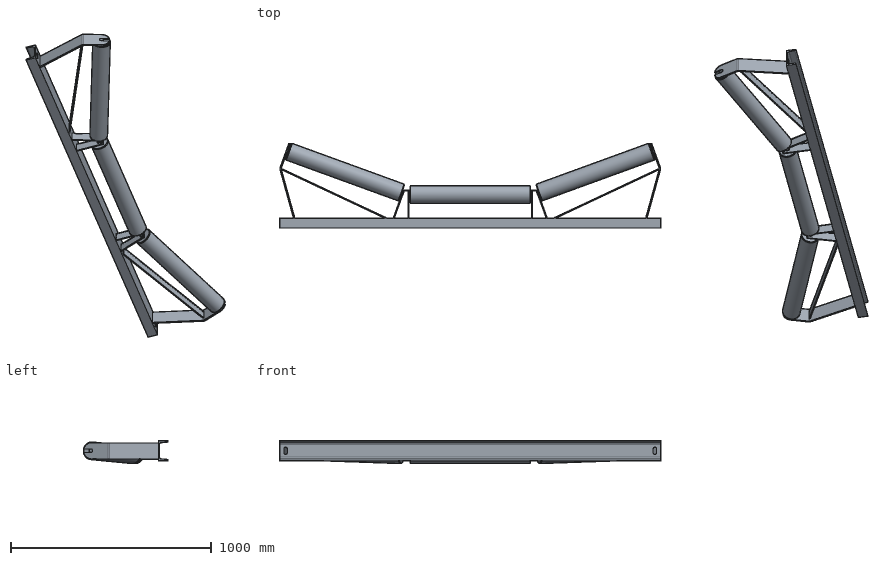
import cadquery as cq
import math

BEAM_LENGTH = 1900.0
BEAM_HEIGHT = 100.0
BEAM_DEPTH = 50.0
WEB_THICKNESS = 5.0
FLANGE_TIP_THICKNESS = 8.0
FLANGE_ROOT_THICKNESS = 11.0
FLANGE_ROOT_RADIUS = 8.5
FLANGE_TIP_RADIUS = 6.7
MOUNT_SLOT_WIDTH = 17.0
MOUNT_SLOT_LENGTH = 36.0
MOUNT_SLOT_END_DISTANCE = 30.0

ROLLER_DIAMETER = 90.0
ROLLER_LENGTH = 600.0
ROLLER_CHAMFER = 4.0
PIN_DIAMETER = 19.0
ROLLER_END_GAP = 4.0
MIDDLE_ROLLER_Y = 167.0
WING_ANGLE = 20.0
WING_LEAN_ANGLE = 1.9
WING_INNER_X = 342.0
WING_INNER_Y = 177.0

ARM_THICKNESS = 8.0
ARM_HEIGHT = 80.0
ARM_BEND_Y = 296.0
ARM_FOOT_X = 870.0
ARM_BEND_RADIUS = 13.0

BRACKET_THICKNESS = 5.0
BRACKET_HEIGHT = 50.0
BRACKET_TOP_Y = 190.0

STRUT_THICKNESS = 5.0
STRUT_HEIGHT = 50.0
STRUT_FOOT_X = 367.0

FOOT_Y = BEAM_DEPTH / 2

ROLLER_RADIUS = ROLLER_DIAMETER / 2

SLOT_REACH = 2 * ROLLER_END_GAP + ARM_THICKNESS
SLOT_OPEN_LENGTH = ROLLER_DIAMETER

WING_SIN = math.sin(math.radians(WING_ANGLE))
WING_COS = math.cos(math.radians(WING_ANGLE))
WING_RUN = ROLLER_LENGTH * math.cos(math.radians(WING_LEAN_ANGLE))

ROLLER_DROP = ROLLER_LENGTH * math.sin(math.radians(WING_LEAN_ANGLE))

wing_frame = cq.Plane(
    origin=(WING_INNER_X, WING_INNER_Y, -ROLLER_DROP),
    xDir=(-WING_SIN, WING_COS, 0),
    normal=(WING_RUN * WING_COS, WING_RUN * WING_SIN, ROLLER_DROP),
)
middle_frame = cq.Plane(
    origin=(-ROLLER_LENGTH / 2, MIDDLE_ROLLER_Y, -ROLLER_DROP),
    xDir=(0, 1, 0),
    normal=(1, 0, 0),
)


def along_wing(distance):
    """Point in XY at a distance outward along the right wing axis from the roller's inner end."""
    return (WING_INNER_X + distance * WING_COS, WING_INNER_Y + distance * WING_SIN)


def down_wing_leg(point, y):
    """Point at the given y on the line through point that is square to the right wing axis."""
    return (point[0] + (point[1] - y) * WING_SIN / WING_COS, y)


def offset_side(path, offset):
    """Corner points of a path moved sideways by offset, with mitred corners."""
    headings = [math.atan2(b[1] - a[1], b[0] - a[0]) for a, b in zip(path, path[1:])]
    before = headings[:1] + headings
    after = headings + headings[-1:]
    side = []
    for (x, y), heading_in, heading_out in zip(path, before, after):
        normal = (heading_in + heading_out) / 2 + math.pi / 2
        reach = offset / math.cos((heading_out - heading_in) / 2)
        side.append((x + reach * math.cos(normal), y + reach * math.sin(normal)))
    return side


def flat_bar(path, thickness, height, z_middle):
    """Upright flat bar whose centre line follows path, cut flush with the back of the beam."""
    outline = offset_side(path, thickness / 2) + offset_side(path, -thickness / 2)[::-1]
    bar = cq.Workplane("XY").workplane(offset=z_middle - height / 2).polyline(outline).close().extrude(height)
    beam_space = cq.Workplane("XY").box(2 * BEAM_LENGTH, 2 * BEAM_DEPTH, 2 * BEAM_HEIGHT)
    return bar.cut(beam_space)


def pin_slot(frame):
    """Cutter for a round-bottomed slot around a roller's pins, open away from the beam."""
    length = ROLLER_LENGTH + 2 * SLOT_REACH
    slot = cq.Workplane(frame).workplane(offset=-SLOT_REACH).circle(PIN_DIAMETER / 2).extrude(length)
    opening = (
        cq.Workplane(frame)
        .workplane(offset=-SLOT_REACH)
        .center(SLOT_OPEN_LENGTH / 2, 0)
        .rect(SLOT_OPEN_LENGTH, PIN_DIAMETER)
        .extrude(length)
    )
    return slot.union(opening)


def make_beam():
    """Taper-flange channel with a mounting slot through the web near each end."""
    half = BEAM_HEIGHT / 2
    web_face = BEAM_DEPTH - WEB_THICKNESS
    tip = half - FLANGE_TIP_THICKNESS
    root = half - FLANGE_ROOT_THICKNESS
    outline = [
        (BEAM_DEPTH, -half),
        (BEAM_DEPTH, half),
        (0, half),
        (0, tip),
        (web_face, root),
        (web_face, -root),
        (0, -tip),
        (0, -half),
    ]
    beam = cq.Workplane("YZ").polyline(outline).close().extrude(BEAM_LENGTH / 2, both=True)
    for side in (-1, 1):
        beam = beam.edges(cq.NearestToPointSelector((0, web_face, side * root))).fillet(FLANGE_ROOT_RADIUS)
        beam = beam.edges(cq.NearestToPointSelector((0, 0, side * tip))).fillet(FLANGE_TIP_RADIUS)
    slot_x = BEAM_LENGTH / 2 - MOUNT_SLOT_END_DISTANCE
    slots = (
        cq.Workplane("XZ")
        .pushPoints([(-slot_x, 0), (slot_x, 0)])
        .slot2D(MOUNT_SLOT_LENGTH, MOUNT_SLOT_WIDTH, 90)
        .extrude(-BEAM_DEPTH)
    )
    return beam.cut(slots)


def make_roller(frame, start_pin, end_pin):
    """Roller with a pin at each end; each pin reaches through its gap and its support plate."""
    barrel = cq.Workplane(frame).circle(ROLLER_RADIUS).extrude(ROLLER_LENGTH)
    barrel = barrel.faces("%PLANE").edges().chamfer(ROLLER_CHAMFER)
    pin_length = start_pin + ROLLER_LENGTH + end_pin
    pin = cq.Workplane(frame).workplane(offset=-start_pin).circle(PIN_DIAMETER / 2).extrude(pin_length)
    return barrel.union(pin)


def round_bend(bar, bend, thickness, outer_radius):
    """Round the outer (+X) and inner edges of a bar's bend about one centre."""
    outer = bar.edges(cq.NearestToPointSelector((bend[0] + thickness / 2, bend[1], 0)))
    bar = outer.fillet(outer_radius)
    inner = bar.edges(cq.NearestToPointSelector((bend[0] - thickness / 2, bend[1], 0)))
    return inner.fillet(outer_radius - thickness)


def make_arm(head, bend):
    """Right-hand arm: lower leg, bend, and upper leg ending in a round head with an open pin slot."""
    arm = flat_bar([head, bend, (ARM_FOOT_X, FOOT_Y)], ARM_THICKNESS, ARM_HEIGHT, 0)
    arm = round_bend(arm, bend, ARM_THICKNESS, ARM_BEND_RADIUS)
    head_frame = cq.Plane(origin=(*head, 0), xDir=(0, 0, 1), normal=(WING_COS, WING_SIN, 0))
    round_head = cq.Workplane(head_frame).circle(ARM_HEIGHT / 2).extrude(ARM_THICKNESS / 2, both=True)
    return arm.union(round_head).cut(pin_slot(wing_frame))


def make_bracket():
    """Right-hand bracket: a leg square to each roller and a flat top, with an open pin slot in each leg."""
    top_y = BRACKET_TOP_Y - BRACKET_THICKNESS / 2
    leg_gap = ROLLER_END_GAP + BRACKET_THICKNESS / 2
    straight_leg_x = ROLLER_LENGTH / 2 + leg_gap
    slanted_leg = along_wing(-leg_gap)
    path = [
        (straight_leg_x, FOOT_Y),
        (straight_leg_x, top_y),
        down_wing_leg(slanted_leg, top_y),
        down_wing_leg(slanted_leg, FOOT_Y),
    ]
    bracket = flat_bar(path, BRACKET_THICKNESS, BRACKET_HEIGHT, -ROLLER_DROP)
    return bracket.cut(pin_slot(middle_frame)).cut(pin_slot(wing_frame))


def make_strut(bend, arm):
    """Right-hand strut, trimmed where it meets the inside of the arm's bend."""
    strut = flat_bar([bend, (STRUT_FOOT_X, FOOT_Y)], STRUT_THICKNESS, STRUT_HEIGHT, 0)
    return strut.cut(arm)


arm_pin = ROLLER_END_GAP + ARM_THICKNESS
bracket_pin = ROLLER_END_GAP + BRACKET_THICKNESS
arm_head = along_wing(ROLLER_LENGTH + ROLLER_END_GAP + ARM_THICKNESS / 2)
arm_bend = down_wing_leg(arm_head, ARM_BEND_Y)

beam = make_beam()
middle_roller = make_roller(middle_frame, bracket_pin, bracket_pin)
wing_roller = make_roller(wing_frame, bracket_pin, arm_pin)
arm = make_arm(arm_head, arm_bend)
bracket = make_bracket()
strut = make_strut(arm_bend, arm)

bodies = [beam.val(), middle_roller.val()]
for right_body in (wing_roller, arm, bracket, strut):
    bodies.append(right_body.val())
    bodies.append(right_body.mirror("YZ").val())

result = cq.Compound.makeCompound(bodies)